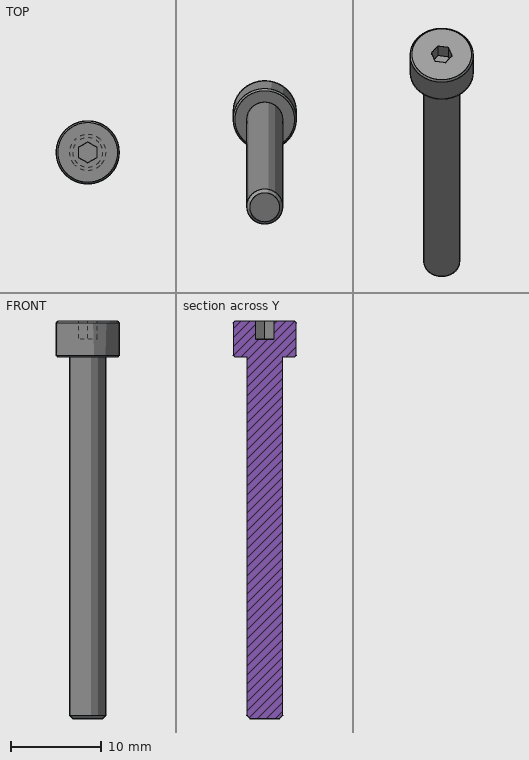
import cadquery as cq
import math

head_diameter = 7.0
head_height = 4.0
head_chamfer = 0.2
shank_diameter = 4.0
shank_length = 40.0
tip_chamfer = 0.35
socket_sides = 6
socket_across_flats = 2.0
socket_depth = 2.0


def make_head():
    """Cylindrical head, chamfered on its upper and lower rims."""
    head = cq.Workplane("XY").circle(head_diameter / 2).extrude(head_height)
    return head.faces("<Z or >Z").edges().chamfer(head_chamfer)


def make_shank():
    """Plain shank hanging below the head, chamfered at its tip."""
    shank = cq.Workplane("XY").circle(shank_diameter / 2).extrude(-shank_length)
    return shank.faces("<Z").edges().chamfer(tip_chamfer)


def make_socket():
    """Hexagonal drive recess with two flats facing +X and -X."""
    half_side_angle = 180 / socket_sides
    across_corners = socket_across_flats / math.cos(math.radians(half_side_angle))
    return (
        cq.Workplane("XY")
        .workplane(offset=head_height)
        .transformed(rotate=(0, 0, half_side_angle))
        .polygon(socket_sides, across_corners)
        .extrude(-socket_depth)
    )


result = make_head().union(make_shank()).cut(make_socket())